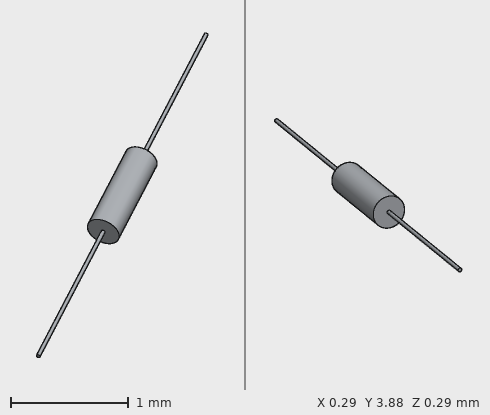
import cadquery as cq

total_length = 3.88
body_length = 0.875
body_diameter = 0.29
lead_diameter = 0.035


def centred_rod(diameter, length):
    """Cylinder along Y, centred on the origin."""
    front_end = cq.Workplane("XZ", origin=(0, -length / 2, 0))
    return front_end.circle(diameter / 2).extrude(-length)


body = centred_rod(body_diameter, body_length)
leads = centred_rod(lead_diameter, total_length)

result = body.union(leads).clean()